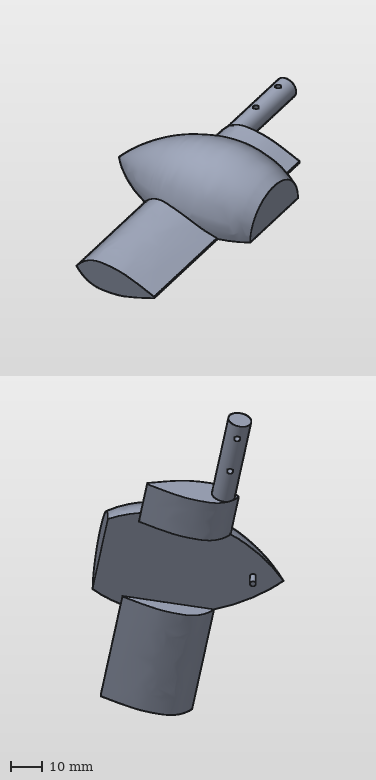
import cadquery as cq

BODY_LENGTH = 60.0
SHOULDER_RADIUS = 15.1
BELLY_RADIUS = 19.5
TAIL_RADIUS = 14.0

WING_LEADING_X = BODY_LENGTH / 3
WING_CHORD = BODY_LENGTH / 2
WING_HALF_THICKNESS = 5.5
WING_THICKEST_X = WING_LEADING_X + WING_CHORD / 3
TRAILING_HALF_THICKNESS = 0.3
NOSE_SLOPE = 1.4
TAIL_SLOPE = 0.4
SHORT_WING_Y = WING_CHORD
LONG_WING_Y = -55.0
LOWER_GAP_HALF_WIDTH = WING_CHORD / 2

TOTAL_SPAN = 115

ROD_DIAMETER = 7.6
ROD_X = 25.1
ROD_END_Y = TOTAL_SPAN + LONG_WING_Y
ROD_HOLE_DIAMETER = 2.0
ROD_HOLE_END_DISTANCES = (5.0, 17.9)

PIN_DIAMETER = 2.0
PIN_X = BODY_LENGTH / 6
PIN_LENGTH = 4.1


def make_body():
    """Pointed half body whose flat face lies at Z = 0."""
    profile = (
        cq.Workplane("XY")
        .spline(
            [
                (0, 0),
                (BODY_LENGTH / 3, SHOULDER_RADIUS),
                (BODY_LENGTH * 2 / 3, BELLY_RADIUS),
                (BODY_LENGTH, TAIL_RADIUS),
            ]
        )
        .lineTo(BODY_LENGTH, 0)
        .close()
    )
    full_body = profile.revolve(360, (0, 0, 0), (1, 0, 0))
    upper_half = cq.Workplane("XY").rect(4 * BODY_LENGTH, 4 * BODY_LENGTH).extrude(BODY_LENGTH)
    return full_body.intersect(upper_half)


def make_half_wing(start_y, end_y, side):
    """Wing half above (side = 1) or below (side = -1) the chord plane."""
    trailing_x = WING_LEADING_X + WING_CHORD
    return (
        cq.Workplane("XZ", origin=(0, start_y, 0))
        .moveTo(WING_LEADING_X, 0)
        .spline(
            [
                (WING_THICKEST_X, side * WING_HALF_THICKNESS),
                (trailing_x, side * TRAILING_HALF_THICKNESS),
            ],
            tangents=[(1, side * NOSE_SLOPE), (1, 0), (1, -side * TAIL_SLOPE)],
            includeCurrent=True,
        )
        .lineTo(trailing_x, 0)
        .close()
        .extrude(start_y - end_y)
    )


def make_rod():
    """Round rod along Y with vertical holes through it."""
    rod = (
        cq.Workplane("XZ", origin=(ROD_X, ROD_END_Y, 0))
        .circle(ROD_DIAMETER / 2)
        .extrude(ROD_END_Y - SHORT_WING_Y)
    )
    holes = (
        cq.Workplane("XY", origin=(ROD_X, ROD_END_Y, 0))
        .pushPoints([(0, -distance) for distance in ROD_HOLE_END_DISTANCES])
        .circle(ROD_HOLE_DIAMETER / 2)
        .extrude(ROD_DIAMETER, both=True)
    )
    return rod.cut(holes)


def make_pin():
    """Pin hanging from the flat face near the nose."""
    return cq.Workplane("XY").center(PIN_X, 0).circle(PIN_DIAMETER / 2).extrude(-PIN_LENGTH)


upper_wing = make_half_wing(SHORT_WING_Y, LONG_WING_Y, 1)
lower_short_wing = make_half_wing(SHORT_WING_Y, LOWER_GAP_HALF_WIDTH, -1)
lower_long_wing = make_half_wing(-LOWER_GAP_HALF_WIDTH, LONG_WING_Y, -1)

result = (
    make_body()
    .union(upper_wing)
    .union(lower_short_wing)
    .union(lower_long_wing)
    .union(make_rod())
    .union(make_pin())
)